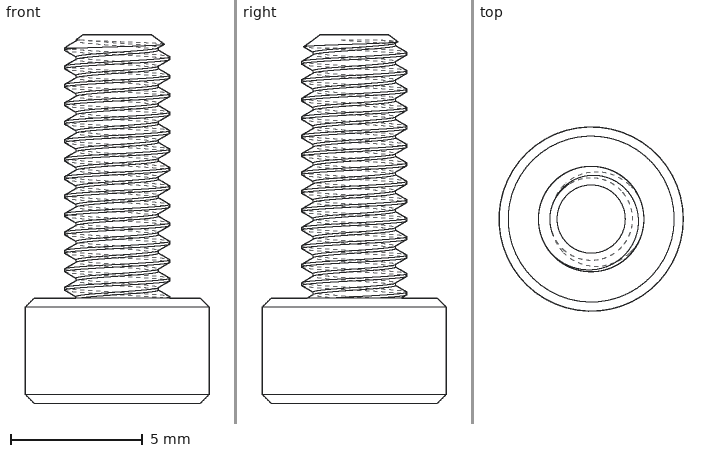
import cadquery as cq
import math

total_length = 14.0
head_diameter = 7.0
head_height = 4.0
head_chamfer = 0.35

thread_diameter = 4.0
pitch = 0.7
thread_depth = 0.43
flank_half_angle = math.radians(30)
crest_flat = 0.1
ridge_embed = 0.01

tip_flat_diameter = 2.59
tip_taper_height = 0.52

thread_radius = thread_diameter / 2
root_radius = thread_radius - thread_depth
tip_flat_radius = tip_flat_diameter / 2

ridge_start = head_height - pitch
ridge_rise = total_length - head_height + 2 * pitch
rod_top = ridge_start + ridge_rise + pitch


def make_head():
    """Cylindrical head with both rims chamfered."""
    head = cq.Workplane("XY").circle(head_diameter / 2).extrude(head_height)
    return head.faces("<Z or >Z").edges().chamfer(head_chamfer)


def make_thread_ridge():
    """Right-handed helical ridge whose crest meets the head face on the +X side."""
    base_radius = root_radius - ridge_embed
    crest_half = crest_flat / 2
    base_half = crest_half + (thread_radius - base_radius) * math.tan(flank_half_angle)

    helix = cq.Wire.makeHelix(pitch, ridge_rise, base_radius, center=cq.Vector(0, 0, ridge_start))
    profile = cq.Workplane("XZ").polyline(
        [
            (base_radius, ridge_start - base_half),
            (thread_radius, ridge_start - crest_half),
            (thread_radius, ridge_start + crest_half),
            (base_radius, ridge_start + base_half),
        ]
    ).close()
    return profile.sweep(cq.Workplane(obj=helix), isFrenet=True)


def make_tip_cutter():
    """Everything outside the conical tip and above the flat end."""
    taper_slope = tip_taper_height / (thread_radius - tip_flat_radius)
    outer_radius = thread_diameter
    outer_z = total_length - (outer_radius - tip_flat_radius) * taper_slope
    return (
        cq.Workplane("XZ")
        .moveTo(0, total_length)
        .lineTo(tip_flat_radius, total_length)
        .lineTo(outer_radius, outer_z)
        .lineTo(outer_radius, rod_top)
        .lineTo(0, rod_top)
        .close()
        .revolve(360, (0, 0), (0, 1))
    )


def make_threaded_shank():
    """Core and ridge, trimmed to the head face and to the conical tip."""
    core = cq.Workplane("XY").circle(root_radius).extrude(rod_top)
    below_head_face = cq.Workplane("XY").circle(thread_diameter).extrude(head_height)
    return core.union(make_thread_ridge()).cut(make_tip_cutter()).cut(below_head_face)


result = make_head().union(make_threaded_shank())